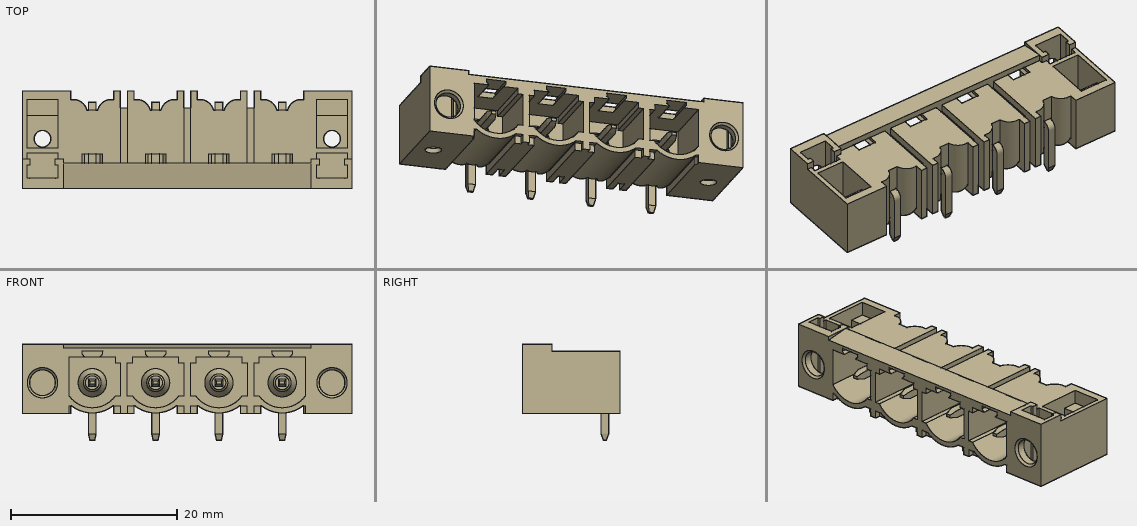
import cadquery as cq

LENGTH = 39.65
DEPTH = 11.75
DECK_HEIGHT = 7.55
FULL_HEIGHT = 8.35
BODY_BOTTOM = 0.95
BODY_BACK = 9.7
AXIS_HEIGHT = 3.73
HALF_LENGTH = LENGTH / 2

POLE_COUNT = 4
POLE_PITCH = 7.6
POLE_XS = [(i - (POLE_COUNT - 1) / 2) * POLE_PITCH for i in range(POLE_COUNT)]
GAP_XS = [(a + b) / 2 for a, b in zip(POLE_XS, POLE_XS[1:])]
GAP_WIDTH = 0.85
POLE_HALF = (POLE_PITCH - GAP_WIDTH) / 2
LEG_INNER_HALF = 2.58
LEG_SETBACK = 0.7
GAP_SLOT_DEPTH = 1.0

SOCKET_DEPTH = 7.95
SOCKET_HALF = 2.78
SOCKET_TOP = 6.82
SOCKET_FLOOR = 0.7
EAR_HALF = 3.4
EAR_TOP = 6.1
EAR_BOTTOM = 2.15
SHELL_HALF = 2.5
SHELL_BOTTOM = 0.08

STRIP_HALF = 14.87
STRIP_FRONT_HEIGHT = 7.9
STRIP_SLOPE_DEPTH = 2.9
STRIP_DEPTH = 3.05
KEYWAY_DEPTH = 4.15
KEYWAY_TOP_HALF = 1.23
KEYWAY_BOTTOM_HALF = 0.9
KEYWAY_SIDE_HEIGHT = 0.35

NOTCH_FLOOR = 10.7
NOTCH_THROAT_Y = 9.45
NOTCH_MOUTH_HALF = 2.0
NOTCH_ROUND_RADIUS = 1.8
NOTCH_THROAT_HALF = 0.65

END_INNER = -POLE_XS[0] + SOCKET_HALF
RAISED_DEPTH = 3.55
POCKET_CENTER = 17.4
POCKET_WIDTH = 3.7
POCKET_FLOOR = 0.6
NUT_POCKET_FRONT = 1.25
NUT_POCKET_BACK = 4.3
RIB_FRONT = 2.85
RIB_REACH = 0.3
SCREW_POCKET_FRONT = 4.88
SCREW_POCKET_BACK = 10.7
LEDGE_FRONT = 8.8
LEDGE_HEIGHT = 5.83
SCREW_HOLE_DIAMETER = 2.0
SCREW_HOLE_Y = 6.0
FLANGE_HOLE_RADIUS = 1.55
FLANGE_CHAMFER = 0.28

PIN_SIZE = 0.95
PIN_FRONT = 0.95
PIN_BACK = 10.4
PIN_BOTTOM = -3.2
TIP_WIDTH = 0.6
TIP_THICKNESS = 0.35
FRONT_TIP_LENGTH = 1.05
SOLDER_TIP_LENGTH = 0.8

COLLAR_BASE_RADIUS = 1.7
COLLAR_RIM_RADIUS = 1.07
COLLAR_TOP_RADIUS = 0.85
COLLAR_HEIGHT = 1.25
COLLAR_RIM_HEIGHT = 0.25


def box(x0, x1, y0, y1, z0, z1):
    return cq.Workplane("XY").box(x1 - x0, y1 - y0, z1 - z0, centered=False).translate((x0, y0, z0))


def front_sketch(x):
    """Sketch plane on the front face; extruding by a negative length goes into the body."""
    return cq.Workplane("XZ", origin=(x, 0, 0))


def end_block(side):
    """Solid block at one end, side -1 or 1, with a raised front part."""
    inner, outer = sorted((side * END_INNER, side * HALF_LENGTH))
    raised_inner, raised_outer = sorted((side * STRIP_HALF, side * HALF_LENGTH))
    block = box(inner, outer, 0, DEPTH, 0, DECK_HEIGHT)
    raised = box(raised_inner, raised_outer, 0, RAISED_DEPTH, 0, FULL_HEIGHT)
    return block.union(raised)


def end_cuts(side):
    """Nut pocket with guide ribs, stepped screw pocket, screw hole and flange hole of one end."""
    center = side * POCKET_CENTER
    x0 = center - POCKET_WIDTH / 2
    x1 = center + POCKET_WIDTH / 2
    nut_pocket = box(x0, x1, NUT_POCKET_FRONT, NUT_POCKET_BACK, POCKET_FLOOR, FULL_HEIGHT)
    for rib_x in (x0, x1 - RIB_REACH):
        rib = box(rib_x, rib_x + RIB_REACH, RIB_FRONT, RAISED_DEPTH, POCKET_FLOOR, FULL_HEIGHT)
        nut_pocket = nut_pocket.cut(rib)
    screw_pocket = box(x0, x1, SCREW_POCKET_FRONT, LEDGE_FRONT, POCKET_FLOOR, DECK_HEIGHT)
    ledge_pocket = box(x0, x1, LEDGE_FRONT, SCREW_POCKET_BACK, LEDGE_HEIGHT, DECK_HEIGHT)
    screw_hole = (
        cq.Workplane("XY")
        .center(center, SCREW_HOLE_Y)
        .circle(SCREW_HOLE_DIAMETER / 2)
        .extrude(DECK_HEIGHT)
    )
    rim = FLANGE_HOLE_RADIUS + FLANGE_CHAMFER
    flange_hole = (
        cq.Workplane("XY", origin=(center, 0, AXIS_HEIGHT))
        .polyline([
            (0, 0), (rim, 0), (FLANGE_HOLE_RADIUS, FLANGE_CHAMFER),
            (FLANGE_HOLE_RADIUS, NUT_POCKET_FRONT), (0, NUT_POCKET_FRONT),
        ])
        .close()
        .revolve(360, (0, 0, 0), (0, 1, 0))
    )
    return [nut_pocket, screw_pocket, ledge_pocket, screw_hole, flange_hole]


def front_strip():
    """Sloping strip on the deck between the raised ends."""
    return (
        cq.Workplane("YZ", origin=(-STRIP_HALF, 0, 0))
        .polyline([
            (0, DECK_HEIGHT), (0, STRIP_FRONT_HEIGHT), (STRIP_SLOPE_DEPTH, FULL_HEIGHT),
            (STRIP_DEPTH, FULL_HEIGHT), (STRIP_DEPTH, DECK_HEIGHT),
        ])
        .close()
        .extrude(2 * STRIP_HALF)
    )


def pole_walls(x):
    """Block between the deck and the body underside, two legs, and the round socket shell."""
    walls = box(x - POLE_HALF, x + POLE_HALF, 0, DEPTH, BODY_BOTTOM, DECK_HEIGHT)
    for leg_x in (x - POLE_HALF, x + LEG_INNER_HALF):
        leg_end = leg_x + POLE_HALF - LEG_INNER_HALF
        walls = walls.union(box(leg_x, leg_end, LEG_SETBACK, DEPTH, 0, DECK_HEIGHT))
    shell = (
        front_sketch(x)
        .moveTo(-SHELL_HALF, BODY_BOTTOM)
        .threePointArc((0, SHELL_BOTTOM), (SHELL_HALF, BODY_BOTTOM))
        .close()
        .extrude(-NOTCH_FLOOR)
    )
    return walls.union(shell)


def socket(x):
    """Round-bottomed cavity, open at the front face."""
    cavity = (
        front_sketch(x)
        .moveTo(-SOCKET_HALF, EAR_BOTTOM)
        .threePointArc((0, SOCKET_FLOOR), (SOCKET_HALF, EAR_BOTTOM))
        .lineTo(SOCKET_HALF, SOCKET_TOP)
        .lineTo(-SOCKET_HALF, SOCKET_TOP)
        .close()
        .extrude(-SOCKET_DEPTH)
    )
    left = SOCKET_HALF if x == POLE_XS[0] else EAR_HALF
    right = SOCKET_HALF if x == POLE_XS[-1] else EAR_HALF
    ears = box(x - left, x + right, 0, SOCKET_DEPTH, EAR_BOTTOM, EAR_TOP)
    return cavity.union(ears)


def keyway(x):
    """Slot from the deck down into the socket, with upright and then inward-sloping sides."""
    slope_top = DECK_HEIGHT - KEYWAY_SIDE_HEIGHT
    return (
        front_sketch(x)
        .polyline([
            (-KEYWAY_TOP_HALF, DECK_HEIGHT), (KEYWAY_TOP_HALF, DECK_HEIGHT),
            (KEYWAY_TOP_HALF, slope_top), (KEYWAY_BOTTOM_HALF, SOCKET_TOP),
            (-KEYWAY_BOTTOM_HALF, SOCKET_TOP), (-KEYWAY_TOP_HALF, slope_top),
        ])
        .close()
        .extrude(-KEYWAY_DEPTH)
    )


def back_notch(x):
    """Opening behind a pole, narrowing through two convex rounds to the pin leg."""
    return (
        cq.Workplane("XY", origin=(x, 0, 0))
        .moveTo(-LEG_INNER_HALF, DEPTH)
        .lineTo(-LEG_INNER_HALF, NOTCH_FLOOR)
        .lineTo(-NOTCH_MOUTH_HALF, NOTCH_FLOOR)
        .radiusArc((-NOTCH_THROAT_HALF, NOTCH_THROAT_Y), NOTCH_ROUND_RADIUS)
        .lineTo(NOTCH_THROAT_HALF, NOTCH_THROAT_Y)
        .radiusArc((NOTCH_MOUTH_HALF, NOTCH_FLOOR), NOTCH_ROUND_RADIUS)
        .lineTo(LEG_INNER_HALF, NOTCH_FLOOR)
        .lineTo(LEG_INNER_HALF, DEPTH)
        .close()
        .extrude(DECK_HEIGHT)
    )


def collar(x):
    """Two-stage cone on the socket back wall, around the contact pin."""
    rim_y = SOCKET_DEPTH - COLLAR_HEIGHT
    top_y = rim_y - COLLAR_RIM_HEIGHT
    return (
        cq.Workplane("XY", origin=(x, 0, AXIS_HEIGHT))
        .polyline([
            (0, SOCKET_DEPTH), (COLLAR_BASE_RADIUS, SOCKET_DEPTH), (COLLAR_RIM_RADIUS, rim_y),
            (COLLAR_TOP_RADIUS, top_y), (0, top_y),
        ])
        .close()
        .revolve(360, (0, 0, 0), (0, 1, 0))
    )


def contact_pin(x):
    """Square wire bent down behind the housing, with a tapered tip at both ends."""
    half = PIN_SIZE / 2
    top = AXIS_HEIGHT + half
    bottom = top - PIN_SIZE
    bend_start = PIN_BACK - PIN_SIZE
    tip_base = PIN_FRONT + FRONT_TIP_LENGTH
    solder_tip_base = PIN_BOTTOM + SOLDER_TIP_LENGTH
    wire = (
        cq.Workplane("YZ", origin=(x - half, 0, 0))
        .moveTo(tip_base, top)
        .lineTo(bend_start, top)
        .radiusArc((PIN_BACK, bottom), PIN_SIZE)
        .lineTo(PIN_BACK, solder_tip_base)
        .lineTo(bend_start, solder_tip_base)
        .lineTo(bend_start, bottom)
        .lineTo(tip_base, bottom)
        .close()
        .extrude(PIN_SIZE)
    )
    front_tip = (
        cq.Workplane("XZ", origin=(x, tip_base, AXIS_HEIGHT))
        .rect(PIN_SIZE, PIN_SIZE)
        .workplane(offset=FRONT_TIP_LENGTH)
        .rect(TIP_WIDTH, TIP_THICKNESS)
        .loft()
    )
    solder_tip = (
        cq.Workplane("XY", origin=(x, PIN_BACK - half, PIN_BOTTOM))
        .rect(TIP_WIDTH, TIP_THICKNESS)
        .workplane(offset=SOLDER_TIP_LENGTH)
        .rect(PIN_SIZE, PIN_SIZE)
        .loft()
    )
    return wire.union(front_tip).union(solder_tip).solids()


def housing_body(pins):
    """One-piece housing with a matching passage for every pin."""
    body = front_strip()
    for side in (-1, 1):
        body = body.union(end_block(side))
    for x in POLE_XS:
        body = body.union(pole_walls(x))
    web_top = DECK_HEIGHT - GAP_SLOT_DEPTH
    for x in GAP_XS:
        x0 = x - GAP_WIDTH / 2
        x1 = x + GAP_WIDTH / 2
        body = body.union(box(x0, x1, 0, BODY_BACK, 0, web_top))
        body = body.union(box(x0, x1, 0, STRIP_DEPTH, web_top, DECK_HEIGHT))
    for x in POLE_XS:
        body = body.cut(socket(x)).cut(keyway(x)).cut(back_notch(x)).union(collar(x))
    for side in (-1, 1):
        for cutter in end_cuts(side):
            body = body.cut(cutter)
    for pin in pins:
        body = body.cut(pin)
    return body.solids()


contact_pins = [contact_pin(x) for x in POLE_XS]
housing = housing_body(contact_pins)

result = cq.Compound.makeCompound([housing.val(), *[pin.val() for pin in contact_pins]])